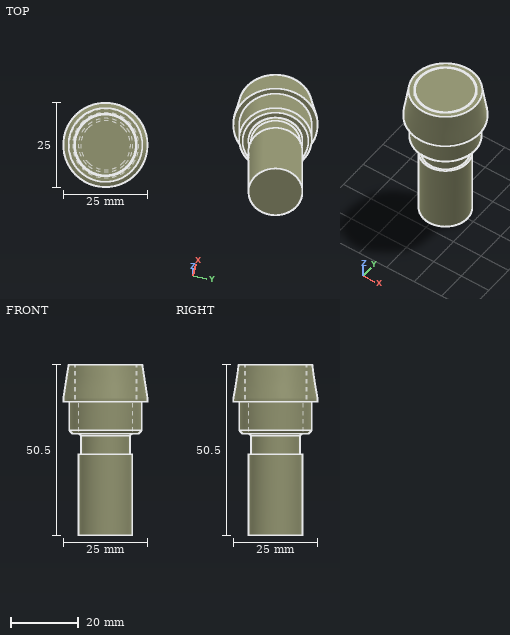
import cadquery as cq

TOTAL_HEIGHT = 50.5
NECK_BOTTOM_Z = 24.05
NECK_TOP_Z = 29.5
HOUSING_BOTTOM_Z = 30.0
FLANGE_BOTTOM_Z = 39.5
FLANGE_RIM_HEIGHT = 1.0

FLANGE_DIAMETER = 25.0
HEAD_TOP_DIAMETER = 21.85
BARREL_DIAMETER = 21.5
POCKET_DIAMETER = 18.6
BUTTON_DIAMETER = 18.0
STEM_DIAMETER = 16.0
NECK_DIAMETER = 14.6

BARREL_CHAMFER = 1.0

BUTTON_SEAT_Z = FLANGE_BOTTOM_Z


def cylinder(diameter, bottom_z, top_z):
    """Cylinder on the Z axis between two heights."""
    return cq.Workplane("XY").workplane(offset=bottom_z).circle(diameter / 2).extrude(top_z - bottom_z)


def make_housing():
    """Flared head with a thin rim over a chamfered barrel, bored for the button and the stem."""
    barrel_radius = BARREL_DIAMETER / 2
    flange_radius = FLANGE_DIAMETER / 2
    head_top_radius = HEAD_TOP_DIAMETER / 2
    rim_top_z = FLANGE_BOTTOM_Z + FLANGE_RIM_HEIGHT
    body = (
        cq.Workplane("XZ")
        .moveTo(0, HOUSING_BOTTOM_Z)
        .lineTo(barrel_radius - BARREL_CHAMFER, HOUSING_BOTTOM_Z)
        .lineTo(barrel_radius, HOUSING_BOTTOM_Z + BARREL_CHAMFER)
        .lineTo(barrel_radius, FLANGE_BOTTOM_Z)
        .lineTo(flange_radius, FLANGE_BOTTOM_Z)
        .lineTo(flange_radius, rim_top_z)
        .lineTo(head_top_radius, TOTAL_HEIGHT)
        .lineTo(0, TOTAL_HEIGHT)
        .close()
        .revolve(360, (0, 0, 0), (0, 1, 0))
    )
    button_pocket = cylinder(POCKET_DIAMETER, BUTTON_SEAT_Z, TOTAL_HEIGHT)
    stem_bore = cylinder(STEM_DIAMETER, HOUSING_BOTTOM_Z, BUTTON_SEAT_Z)
    return body.cut(button_pocket).cut(stem_bore)


def make_button():
    """Disc flush with the head's top face, with a narrow ring gap around it."""
    return cylinder(BUTTON_DIAMETER, BUTTON_SEAT_Z, TOTAL_HEIGHT)


def make_stem():
    """Round rod with a neck below the housing; a 45 degree cone widens the neck into the bore."""
    stem_radius = STEM_DIAMETER / 2
    neck_radius = NECK_DIAMETER / 2
    cone_top_z = NECK_TOP_Z + stem_radius - neck_radius
    return (
        cq.Workplane("XZ")
        .moveTo(0, 0)
        .lineTo(stem_radius, 0)
        .lineTo(stem_radius, NECK_BOTTOM_Z)
        .lineTo(neck_radius, NECK_BOTTOM_Z)
        .lineTo(neck_radius, NECK_TOP_Z)
        .lineTo(stem_radius, cone_top_z)
        .lineTo(stem_radius, BUTTON_SEAT_Z)
        .lineTo(0, BUTTON_SEAT_Z)
        .close()
        .revolve(360, (0, 0, 0), (0, 1, 0))
    )


housing = make_housing()
button = make_button()
stem = make_stem()

result = cq.Compound.makeCompound([housing.val(), button.val(), stem.val()])